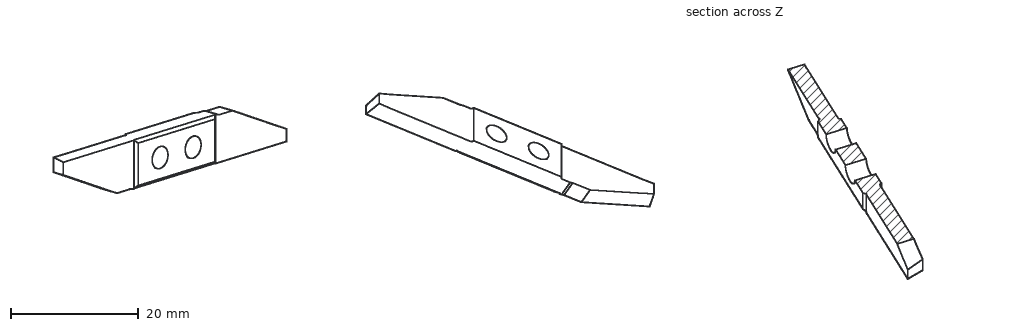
import cadquery as cq

length = 50.5
height = 8.0
width = 3.6
half_length = length / 2
half_height = height / 2

pad_rise = 0.35
blade_width = width - 2 * pad_rise
blade_side = blade_width / 2

tip_height = 2.05
relief_depth = 0.15
taper_start = 13.1
ramp_outer = 10.0
ramp_inner = 9.55
bevel_run = 0.8
flare_start = 22.4
tip_flare = 0.065

pad_half_length = 7.85

key_half_length = 9.2
key_chamfer = 0.5

hole_diameter = 3.6
hole_spacing = 7.45


def make_blade():
    """Bar with two tapered tips, unchanged by a half turn about X."""
    half_outline = [
        (-half_length, half_height),
        (ramp_inner, half_height),
        (ramp_outer, half_height - relief_depth),
        (taper_start, half_height - relief_depth),
        (half_length, -half_height + tip_height),
    ]
    turned_outline = [(-y, -z) for y, z in half_outline]
    return (
        cq.Workplane("YZ", origin=(-width / 2, 0, 0))
        .polyline(half_outline + turned_outline)
        .close()
        .extrude(width)
    )


def shape_tips(body):
    """Give the blade its plan: sloped end faces and a slight flare on the -X side."""
    edge = half_length - bevel_run
    outline = [
        (blade_side, -half_length),
        (blade_side, half_length),
        (-blade_side - tip_flare, edge),
        (-blade_side, flare_start),
        (-blade_side, -flare_start),
        (-blade_side - tip_flare, -edge),
    ]
    plan = cq.Workplane("XY").polyline(outline).close().extrude(half_height, both=True)
    return body.intersect(plan)


def make_plain_pad():
    """Full-height pad on the -X side, blending into the blade at both ends."""
    pad_face = -blade_side - pad_rise
    foot = pad_half_length + pad_rise
    return (
        cq.Workplane("XY", origin=(0, 0, -half_height))
        .moveTo(0, -foot)
        .lineTo(-blade_side, -foot)
        .radiusArc((pad_face, -pad_half_length), -pad_rise)
        .lineTo(pad_face, pad_half_length)
        .radiusArc((-blade_side, foot), -pad_rise)
        .lineTo(0, foot)
        .close()
        .extrude(height)
    )


def add_key_pad(body):
    """Pad on the +X side whose chamfer also trims the long edges of the blade."""
    key_width = blade_side + pad_rise
    key = (
        cq.Workplane("XY")
        .box(key_width, 2 * key_half_length, height, centered=(False, True, True))
        .faces(">X")
        .chamfer(key_chamfer)
    )
    base = key_width - key_chamfer
    clearance = (
        cq.Workplane("XY", origin=(base, 0, 0))
        .box(key_chamfer, 2 * key_half_length, height, centered=(False, True, True))
    )
    return body.cut(clearance).union(key)


def drill_holes(body):
    """Two through holes along X."""
    holes = (
        cq.Workplane("YZ")
        .pushPoints([(-hole_spacing / 2, 0), (hole_spacing / 2, 0)])
        .circle(hole_diameter / 2)
        .extrude(width, both=True)
    )
    return body.cut(holes)


blade = shape_tips(make_blade())
padded = add_key_pad(blade.union(make_plain_pad()))
result = drill_holes(padded)